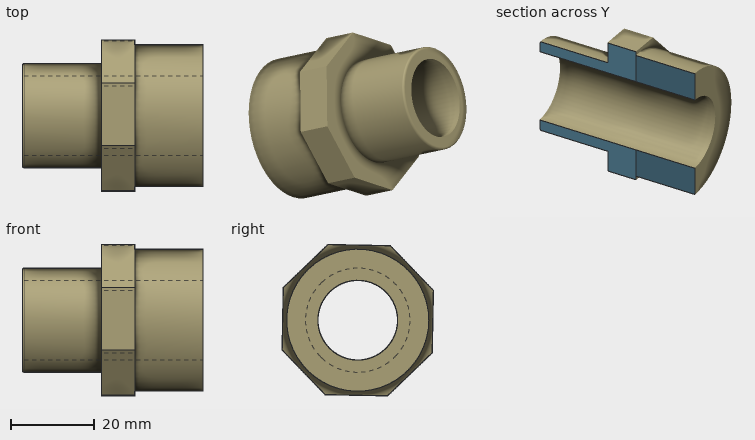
import cadquery as cq
import math

total_length = 43.3
spigot_length = 18.92
flange_thickness = 8.0
spigot_diameter = 25.0
socket_diameter = 34.0
bore_diameter = 19.0
spigot_end_radius = 0.5

flange_sides = 8
flange_across_flats = 36.0
flange_turn = 1.1

flange_across_corners = flange_across_flats / math.cos(math.pi / flange_sides)
half_side_angle = 180.0 / flange_sides
socket_start = spigot_length + flange_thickness
socket_length = total_length - socket_start


def section_at(x):
    """Work plane across the fitting axis, facing +X."""
    return cq.Workplane("YZ", origin=(x, 0, 0))


def make_bore():
    """Cylinder for the passage through the whole fitting."""
    return section_at(0).circle(bore_diameter / 2).extrude(total_length)


def make_spigot_body():
    """Round-edged spigot with the octagonal flange at its inner end."""
    spigot = section_at(0).circle(spigot_diameter / 2).extrude(spigot_length)
    spigot = spigot.faces("<X").edges().fillet(spigot_end_radius)
    flange = (
        section_at(spigot_length)
        .polygon(flange_sides, flange_across_corners)
        .extrude(flange_thickness)
        .rotate((0, 0, 0), (1, 0, 0), half_side_angle - flange_turn)
    )
    return spigot.union(flange).cut(make_bore())


def make_socket():
    """Round sleeve seated against the back of the flange."""
    sleeve = section_at(socket_start).circle(socket_diameter / 2).extrude(socket_length)
    return sleeve.cut(make_bore())


spigot_body = make_spigot_body()
socket = make_socket()

result = cq.Compound.makeCompound([spigot_body.val(), socket.val()])